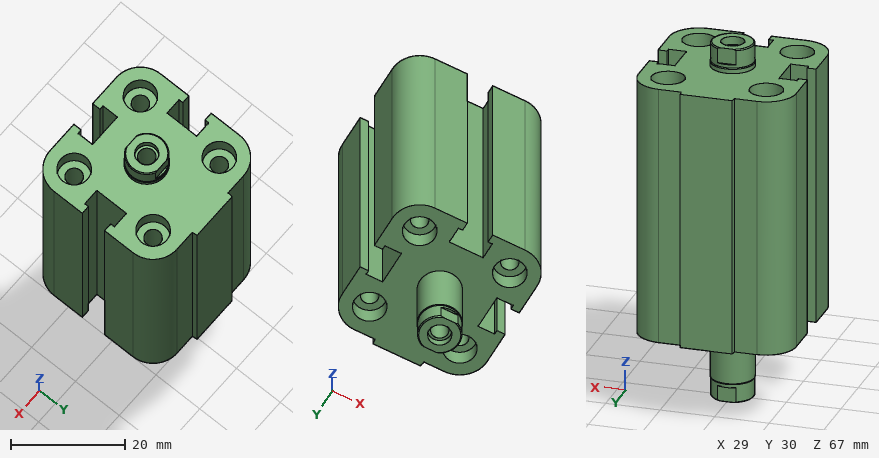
import cadquery as cq


housing_width = 29.0
housing_height = 48.05
cap_height = 12.5
rod_length = 67.0
rod_top_reach = 4.5

half_width = housing_width / 2
corner_radius = 5.5
slot_opening = 5.1
slot_inner_width = 6.8
slot_lip = 1.7
slot_depth = 4.95
rib_base_width = 9.8
rib_tip_width = 9.5
rib_reach = 1.0

hole_offset = half_width - corner_radius
hole_diameter = 3.2
counterbore_diameter = 6.0
counterbore_depth = 3.5

rod_diameter = 8.0
tip_diameter = 7.8
tip_length = 3.5
step_chamfer_length = 0.2
tip_chamfer = 0.2
flat_length = 2.9
flat_distance = 7.0
rod_bore_diameter = 3.2
rod_bore_depth = 10.05
rod_recess_diameter = 4.2
rod_recess_depth = 1.5

rod_top = housing_height + rod_top_reach
rod_bottom = rod_top - rod_length


def mirrored_end(solid, bottom, top):
    """Copy a feature of the end at height top to the end at height bottom."""
    return solid.mirror("XY", (0, 0, (bottom + top) / 2))


def make_rib():
    """Locating rib on the +Y side, slightly narrower at its tip."""
    return (
        cq.Workplane("XY")
        .moveTo(-rib_base_width / 2, 0)
        .lineTo(-rib_base_width / 2, half_width)
        .lineTo(-rib_tip_width / 2, half_width + rib_reach)
        .lineTo(rib_tip_width / 2, half_width + rib_reach)
        .lineTo(rib_base_width / 2, half_width)
        .lineTo(rib_base_width / 2, 0)
        .close()
        .extrude(housing_height)
    )


def make_slot(angle):
    """T-slot cutter of the -Y side, turned about Z by the given angle."""
    opening = (
        cq.Workplane("XY")
        .box(slot_opening, slot_depth, housing_height, centered=(True, False, False))
    )
    inner = (
        cq.Workplane("XY")
        .box(slot_inner_width, slot_depth - slot_lip, housing_height, centered=(True, False, False))
        .translate((0, slot_lip, 0))
    )
    slot = opening.union(inner).translate((0, -half_width, 0))
    return slot.rotate((0, 0, 0), (0, 0, 1), angle)


def make_mounting_holes():
    """Four counterbored blind holes in the top face, each as deep as the end cap."""
    top_plane = cq.Workplane("XY", origin=(0, 0, housing_height))
    corners = top_plane.rect(2 * hole_offset, 2 * hole_offset, forConstruction=True).vertices()
    holes = corners.circle(hole_diameter / 2).extrude(-cap_height)
    counterbores = corners.circle(counterbore_diameter / 2).extrude(-counterbore_depth)
    return holes.union(counterbores)


def make_housing():
    """Square housing with three T-slots, a rib, mounting holes and a rod passage."""
    housing = (
        cq.Workplane("XY")
        .rect(housing_width, housing_width)
        .extrude(housing_height)
        .edges("|Z")
        .fillet(corner_radius)
        .union(make_rib())
    )
    for angle in (-90, 0, 90):
        housing = housing.cut(make_slot(angle))
    holes = make_mounting_holes()
    housing = housing.cut(holes).cut(mirrored_end(holes, 0, housing_height))
    rod_passage = cq.Workplane("XY").circle(rod_diameter / 2).extrude(housing_height)
    return housing.cut(rod_passage)


def make_rod_blank():
    """Round rod with a reduced, chamfered tip at each end."""
    rod_radius = rod_diameter / 2
    tip_radius = tip_diameter / 2
    step_length = tip_length + step_chamfer_length
    return (
        cq.Workplane("XZ")
        .moveTo(0, rod_bottom)
        .lineTo(tip_radius, rod_bottom)
        .lineTo(tip_radius, rod_bottom + tip_length)
        .lineTo(rod_radius, rod_bottom + step_length)
        .lineTo(rod_radius, rod_top - step_length)
        .lineTo(tip_radius, rod_top - tip_length)
        .lineTo(tip_radius, rod_top)
        .lineTo(0, rod_top)
        .close()
        .revolve(360, (0, 0, 0), (0, 1, 0))
        .faces("<Z or >Z")
        .chamfer(tip_chamfer)
    )


def make_rod_end_cut():
    """Stepped bore and two wrench flats of the top rod end."""
    end_plane = cq.Workplane("XY", origin=(0, 0, rod_top))
    bore = end_plane.circle(rod_bore_diameter / 2).extrude(-rod_bore_depth)
    recess = end_plane.circle(rod_recess_diameter / 2).extrude(-rod_recess_depth)
    flats = (
        end_plane.rect(2 * rod_diameter, 2 * rod_diameter)
        .rect(2 * rod_diameter, flat_distance)
        .extrude(-flat_length)
    )
    return bore.union(recess).union(flats)


def make_rod():
    """Through rod with the same bore and flats at both ends."""
    end_cut = make_rod_end_cut()
    return make_rod_blank().cut(end_cut).cut(mirrored_end(end_cut, rod_bottom, rod_top))


housing = make_housing()
rod = make_rod()
result = cq.Compound.makeCompound([housing.val(), rod.val()])